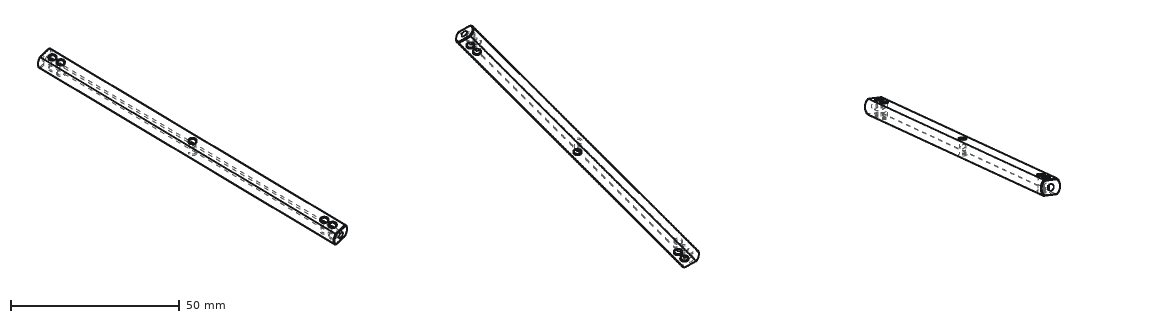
import cadquery as cq

length = 112.5
rod_diameter = 6.6
height_across_flats = 5.0
end_chamfer = 0.28
axial_bore_diameter = 2.0
cross_hole_diameter = 2.0
cross_hole_chamfer = 0.3
inner_hole_offset = 50.0
outer_hole_offset = 53.1

cross_hole_positions = [0.0]
for offset in (inner_hole_offset, outer_hole_offset):
    cross_hole_positions += [-offset, offset]


def flatted_rod():
    """Rod along X with flats on its top and bottom and chamfered end faces."""
    rod = cq.Workplane("YZ").circle(rod_diameter / 2).extrude(length / 2, both=True)
    slab = cq.Workplane("XY").box(length, rod_diameter, height_across_flats)
    return rod.intersect(slab).faces("<X or >X").chamfer(end_chamfer)


def axial_bore():
    """Full-length cutter on the rod axis."""
    return cq.Workplane("YZ").circle(axial_bore_diameter / 2).extrude(length / 2, both=True)


def cross_hole(x):
    """Vertical cutter at x that flares out to a chamfer at each flat."""
    radius = cross_hole_diameter / 2
    mouth_radius = radius + cross_hole_chamfer
    flat_height = height_across_flats / 2
    chamfer_start = flat_height - cross_hole_chamfer
    half_profile = [
        (0, -flat_height),
        (mouth_radius, -flat_height),
        (radius, -chamfer_start),
        (radius, chamfer_start),
        (mouth_radius, flat_height),
        (0, flat_height),
    ]
    cutter = cq.Workplane("XZ").polyline(half_profile).close().revolve(360, (0, 0), (0, 1))
    return cutter.translate((x, 0, 0))


result = flatted_rod().cut(axial_bore())
for position in cross_hole_positions:
    result = result.cut(cross_hole(position))